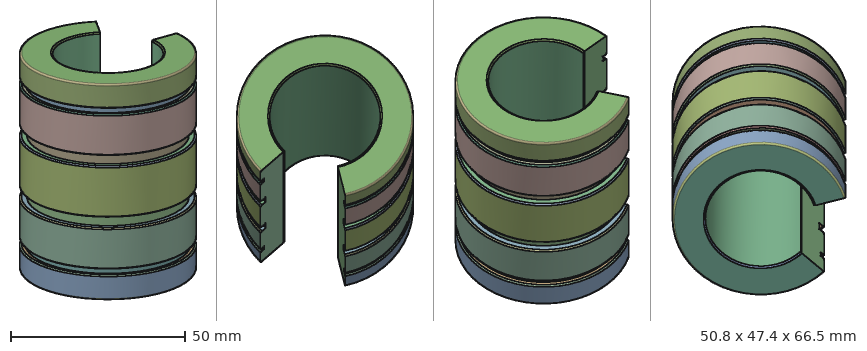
import cadquery as cq
import math

length = 66.5
outer_radius = 25.4
bore_radius = 15.9
liner_thickness = 0.5
liner_radius = bore_radius + liner_thickness
opening_angle = 60.0

end_fillet = 0.5
chamfer_radial = 0.5
chamfer_axial = 0.4
liner_bevel_height = 0.4

retainer_groove_radius = 23.85
retainer_groove_width = 1.8
retainer_groove_center = 24.7
seal_groove_radius = 23.35
seal_groove_width = 3.25
seal_groove_center = 9.5


def tube(outer, inner):
    """Full-length round tube centred on the origin."""
    return cq.Workplane("XY").circle(outer).circle(inner).extrude(length / 2, both=True)


def opening():
    """Wedge that removes the radial opening on the +Y side."""
    reach = 2 * outer_radius
    half_width = reach * math.tan(math.radians(opening_angle / 2))
    wedge = cq.Workplane("XY").polyline([(0, 0), (half_width, reach), (-half_width, reach)]).close()
    return wedge.extrude(length, both=True)


def groove(center, width, floor_radius):
    """Ring cutter for one groove, including the chamfers on both of its rims."""
    top = center + width / 2
    bottom = center - width / 2
    chamfer_start = outer_radius - chamfer_radial
    profile = [
        (floor_radius, bottom),
        (chamfer_start, bottom),
        (outer_radius, bottom - chamfer_axial),
        (outer_radius, top + chamfer_axial),
        (chamfer_start, top),
        (floor_radius, top),
    ]
    return cq.Workplane("XZ").polyline(profile).close().revolve(360, (0, 0, 0), (0, 1, 0))


def liner_bevel(side):
    """Ring cutter that bevels one liner end (side is 1 for the top, -1 for the bottom)."""
    end = side * length / 2
    profile = [
        (liner_radius, end),
        (bore_radius, end - side * liner_bevel_height),
        (bore_radius, end),
    ]
    return cq.Workplane("XZ").polyline(profile).close().revolve(360, (0, 0, 0), (0, 1, 0))


def make_sleeve():
    """Outer sleeve with rounded end rims, grooves and the radial opening."""
    sleeve = tube(outer_radius, liner_radius)
    outer_rims = cq.selectors.RadiusNthSelector(-1)
    sleeve = sleeve.edges("%CIRCLE").edges(outer_rims).fillet(end_fillet)
    groove_kinds = [
        (retainer_groove_center, retainer_groove_width, retainer_groove_radius),
        (seal_groove_center, seal_groove_width, seal_groove_radius),
    ]
    for center, width, floor_radius in groove_kinds:
        for side in (-1, 1):
            sleeve = sleeve.cut(groove(side * center, width, floor_radius))
    return sleeve.cut(opening())


def make_liner():
    """Thin bore liner whose ends are bevelled across its whole thickness."""
    liner = tube(liner_radius, bore_radius)
    for side in (-1, 1):
        liner = liner.cut(liner_bevel(side))
    return liner.cut(opening())


sleeve = make_sleeve()
liner = make_liner()

result = cq.Compound.makeCompound([sleeve.val(), liner.val()])